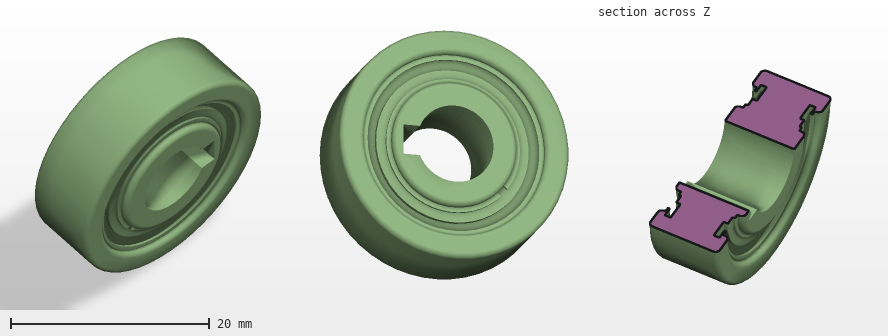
import cadquery as cq
import math

outer_radius = 12.0
width = 8.0
edge_radius = 0.5

undercut_radius = 10.0
race_recess_radius = 9.5
lip_radius = 9.0
groove_inner_radius = 8.0
snap_ring_radius = 7.0
hub_radius = 6.5
bore_radius = 4.0

lip_depth = 0.65
lip_thickness = 0.25
groove_depth = 1.5
plate_depth = 1.0
snap_ring_depth = 0.75

keyway_width = 3.07
keyway_reach = 5.42

snap_gap_width = 1.05
snap_gap_angle = 220.0


def washer(large_radius, small_radius, length):
    """Washer on the YZ plane, extending toward +X."""
    return cq.Workplane("YZ").circle(large_radius).circle(small_radius).extrude(length)


def solid_ring():
    """Full-width ring with rounded outer rims."""
    ring = washer(outer_radius, bore_radius, width)
    ring = ring.translate((-width / 2, 0, 0))
    return ring.faces("<X or >X").edges("%CIRCLE").edges(
        cq.selectors.RadiusNthSelector(-1)
    ).fillet(edge_radius)


def stepped_recess():
    """Material to remove from the -X side face, between outer race and hub."""
    recess = washer(lip_radius, hub_radius, snap_ring_depth)
    recess = recess.union(washer(lip_radius, snap_ring_radius, plate_depth))
    recess = recess.union(washer(race_recess_radius, lip_radius, lip_depth))
    recess = recess.union(washer(lip_radius, groove_inner_radius, groove_depth))
    recess = recess.union(lip_undercut())
    recess = recess.union(rim_rounding(race_recess_radius, 1))
    recess = recess.union(rim_rounding(hub_radius, -1))
    recess = recess.union(snap_ring_gap())
    return recess.translate((-width / 2, 0, 0))


def lip_undercut():
    """Annular space behind the thin lip that projects inward from the outer race."""
    lip_back = lip_depth + lip_thickness
    undercut = washer(undercut_radius, lip_radius, groove_depth - lip_back)
    return undercut.translate((lip_back, 0, 0))


def rim_rounding(wall_radius, outward):
    """Ring that rounds a recess rim; outward is 1 for the race, -1 for the hub."""
    face_radius = wall_radius + outward * edge_radius
    corner_offset = edge_radius * (1 - math.sqrt(0.5))
    arc_middle = (corner_offset, wall_radius + outward * corner_offset)
    return (
        cq.Workplane("XY")
        .moveTo(0, wall_radius)
        .lineTo(0, face_radius)
        .threePointArc(arc_middle, (edge_radius, wall_radius))
        .close()
        .revolve(360, (0, 0, 0), (1, 0, 0))
    )


def snap_ring_gap():
    """Gap through the snap ring, down to the plate behind it."""
    slot = cq.Workplane("XY").box(
        plate_depth, snap_ring_radius, snap_gap_width, centered=(False, False, True)
    )
    slot = slot.rotate((0, 0, 0), (1, 0, 0), snap_gap_angle)
    return slot.intersect(washer(snap_ring_radius, hub_radius, plate_depth))


def keyway():
    """Keyway running the full width of the hub."""
    return cq.Workplane("XY").box(
        width, keyway_reach, keyway_width, centered=(True, False, True)
    )


recess = stepped_recess()
result = solid_ring().cut(recess).cut(recess.mirror("YZ")).cut(keyway())